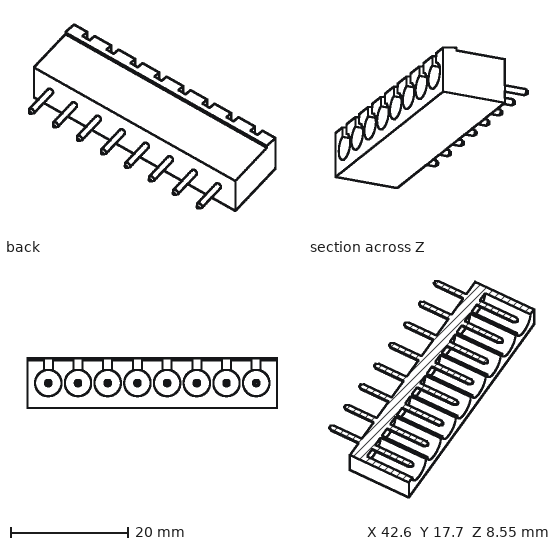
import cadquery as cq

LENGTH = 42.65
HEIGHT = 8.55
BODY_DEPTH = 11.7
TOP_STEP = 0.45
BACK_DROP = 0.4
SLOPE_DEPTH = 1.9
RIB_DEPTH = 2.55

PIN_COUNT = 8
PITCH = 5.08
PIN_DIAMETER = 1.1
PIN_LENGTH = 5.97
PIN_HEIGHT = HEIGHT / 2
TIP_LENGTH = 0.5
TIP_DIAMETER = 0.5
NOTCH_WIDTH = 1.55
NOTCH_DEPTH = 1.4

SOCKET_DIAMETER = 4.52
SOCKET_DEPTH = 8.95
PIN_RECESS = 1.3

pin_positions = [(i - (PIN_COUNT - 1) / 2) * PITCH for i in range(PIN_COUNT)]


def make_housing():
    """Side profile in the YZ plane, extruded along the full length."""
    profile = [
        (0, 0),
        (BODY_DEPTH, 0),
        (BODY_DEPTH, HEIGHT - BACK_DROP),
        (BODY_DEPTH - SLOPE_DEPTH, HEIGHT),
        (BODY_DEPTH - RIB_DEPTH, HEIGHT),
        (BODY_DEPTH - RIB_DEPTH, HEIGHT - TOP_STEP),
        (0, HEIGHT - TOP_STEP),
    ]
    return cq.Workplane("YZ").polyline(profile).close().extrude(LENGTH / 2, both=True)


def make_socket(x):
    """Cutter for a round blind socket with a notch through the wall above it."""
    back_plane = cq.Workplane("XZ", origin=(x, BODY_DEPTH, PIN_HEIGHT))
    bore = back_plane.circle(SOCKET_DIAMETER / 2).extrude(SOCKET_DEPTH)
    notch = cq.Workplane("XY").box(
        NOTCH_WIDTH, NOTCH_DEPTH, HEIGHT - PIN_HEIGHT, centered=(True, False, False)
    )
    return bore.union(notch.translate((x, BODY_DEPTH - NOTCH_DEPTH, PIN_HEIGHT)))


def make_pin(x):
    """Round pin tapered at both ends, passing through the front wall into its socket."""
    radius = PIN_DIAMETER / 2
    tip_radius = TIP_DIAMETER / 2
    back_end = BODY_DEPTH - PIN_RECESS
    front_end = -PIN_LENGTH
    profile = [
        (0, back_end),
        (tip_radius, back_end),
        (radius, back_end - TIP_LENGTH),
        (radius, front_end + TIP_LENGTH),
        (tip_radius, front_end),
        (0, front_end),
    ]
    return (
        cq.Workplane("XY", origin=(x, 0, PIN_HEIGHT))
        .polyline(profile)
        .close()
        .revolve(360, (0, 0, 0), (0, 1, 0))
    )


result = make_housing()
for pin_x in pin_positions:
    result = result.cut(make_socket(pin_x)).union(make_pin(pin_x))